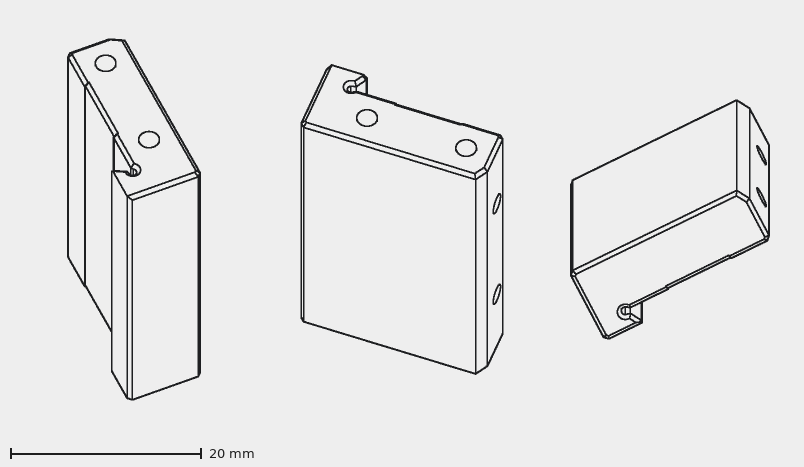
import cadquery as cq
import math

width = 20.5
thickness = 8.38
height = 34.92
edge_chamfer = 0.42

bevel_depth = 1.4
bevel_width = bevel_depth * math.tan(math.radians(30))

front_y = -6.35
relief_left = 4.68
relief_right = 12.08
relief_depth = 0.1

groove_x = 17.15
groove_y = -6.43
groove_radius = 0.42
groove_mouth_x = 16.5
groove_start_angle = 145
groove_end_angle = -60

hook_tip_x = 16.15
hook_tip_flat = 0.28
hook_shoulder_x = 16.8
hook_shoulder_y = -6.9

hole_diameter = 2.15
hole_depth = 5.95
drill_point_angle = 118
top_hole_xs = (3.07, 14.18)
top_hole_y = -3.2
side_hole_y = -thickness / 2
side_hole_spacing = 15.85


def groove_point(angle):
    """Point on the groove circle at an angle in degrees from +X."""
    a = math.radians(angle)
    return (groove_x + groove_radius * math.cos(a), groove_y + groove_radius * math.sin(a))


def outline(hook_overhang=0.0):
    """Closed hook profile, with the hook's front face moved forward by the overhang."""
    front = -thickness - hook_overhang
    middle_angle = (groove_start_angle + groove_end_angle) / 2
    return (
        cq.Workplane("XY")
        .moveTo(bevel_width, 0)
        .lineTo(0, -bevel_depth)
        .lineTo(0, front_y + edge_chamfer)
        .lineTo(edge_chamfer, front_y)
        .lineTo(groove_mouth_x, front_y)
        .lineTo(*groove_point(groove_start_angle))
        .threePointArc(groove_point(middle_angle), groove_point(groove_end_angle))
        .lineTo(hook_shoulder_x, hook_shoulder_y)
        .lineTo(hook_tip_x, -thickness + hook_tip_flat)
        .lineTo(hook_tip_x, front)
        .lineTo(width - edge_chamfer, front)
        .lineTo(width, front + edge_chamfer)
        .lineTo(width, -edge_chamfer)
        .lineTo(width - edge_chamfer, 0)
        .close()
    )


def make_body():
    """Prism with chamfered ends; the front edge of the hook stays sharp at the top."""
    straight_height = height - 2 * edge_chamfer
    bevel_angle = 45
    prism = outline().extrude(straight_height).translate((0, 0, edge_chamfer))
    bottom = outline().extrude(edge_chamfer, taper=bevel_angle)
    bottom = bottom.mirror("XY").translate((0, 0, edge_chamfer))
    top = outline(2 * edge_chamfer).extrude(edge_chamfer, taper=bevel_angle)
    top = top.intersect(outline().extrude(edge_chamfer))
    top = top.translate((0, 0, height - edge_chamfer))
    return prism.union(bottom).union(top)


def make_relief_cutter():
    """Shallow front recess whose ends follow the end chamfers at the same size."""
    relief_y = front_y + relief_depth
    bevel_y = relief_y + edge_chamfer
    return (
        cq.Workplane("YZ", origin=(relief_left, 0, 0))
        .moveTo(front_y, 0)
        .lineTo(bevel_y, 0)
        .lineTo(relief_y, edge_chamfer)
        .lineTo(relief_y, height - edge_chamfer)
        .lineTo(bevel_y, height)
        .lineTo(front_y, height)
        .close()
        .extrude(relief_right - relief_left)
    )


def drill(mouth, direction):
    """Solid of a blind hole with a conical end."""
    radius = hole_diameter / 2
    point_length = radius / math.tan(math.radians(drill_point_angle / 2))
    start = cq.Vector(*mouth)
    axis = cq.Vector(*direction)
    barrel = cq.Solid.makeCylinder(radius, hole_depth, start, axis)
    point = cq.Solid.makeCone(radius, 0, point_length, start + axis * hole_depth, axis)
    return barrel.fuse(point)


result = make_body().cut(make_relief_cutter())

for x in top_hole_xs:
    result = result.cut(drill((x, top_hole_y, height), (0, 0, -1)))

for side in (-1, 1):
    hole_z = height / 2 + side * side_hole_spacing / 2
    result = result.cut(drill((0, side_hole_y, hole_z), (1, 0, 0)))